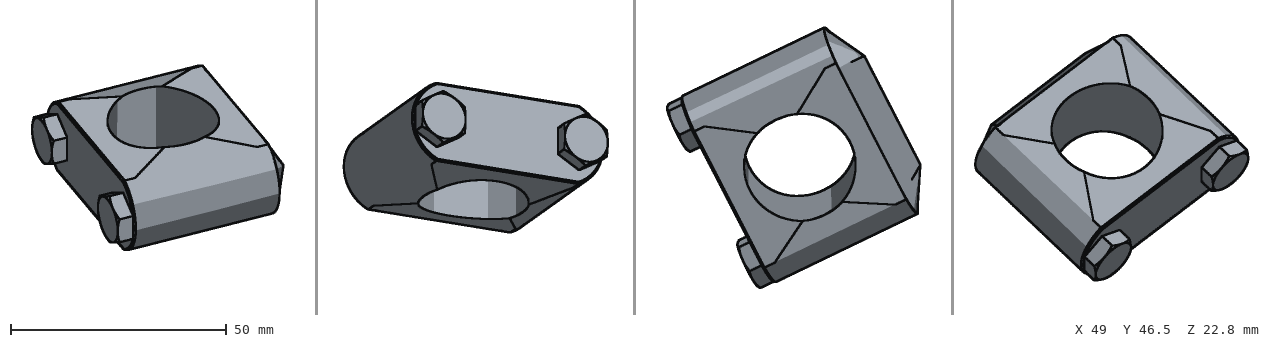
import cadquery as cq
import math

length = 49.0
half_length = length / 2
half_thickness = 9.6
flat_half_length = 18.25
edge_bevel_length = 0.35
edge_bevel_height = 0.15
bulge_half_length = flat_half_length + edge_bevel_length
bulge_half_height = half_thickness - edge_bevel_height
front_y = -18.65
front_chamfer = 0.4

ridge_y = 23.95
ridge_half_length = 14.55
roof_angle = 30.0
roof_rise = half_thickness * math.tan(math.radians(roof_angle))
back_y = ridge_y - roof_rise

raised_half_height = 11.4
hole_radius = 12.7
hole_stretch = 0.5
raised_half_depth = 15.6
crest_half_depth = 5.1
crest_half_length = math.sqrt(hole_radius**2 - (crest_half_depth - hole_stretch / 2) ** 2)

bolt_spacing = 36.45
head_flats = 11.0
head_corners = head_flats / math.cos(math.radians(30))
head_height = 3.9
head_chamfer_angle = 30.0


def make_body():
    """Extrude the slab and bevel its front rim."""
    profile = (
        cq.Workplane("XZ", origin=(0, back_y, 0))
        .moveTo(-flat_half_length, half_thickness)
        .lineTo(flat_half_length, half_thickness)
        .lineTo(bulge_half_length, bulge_half_height)
        .threePointArc((half_length, 0), (bulge_half_length, -bulge_half_height))
        .lineTo(flat_half_length, -half_thickness)
        .lineTo(-flat_half_length, -half_thickness)
        .lineTo(-bulge_half_length, -bulge_half_height)
        .threePointArc((-half_length, 0), (-bulge_half_length, bulge_half_height))
        .close()
    )
    return profile.extrude(back_y - front_y).faces("<Y").chamfer(front_chamfer)


def make_roof():
    """Make the triangular ridge and the two cones that close its ends."""
    roof = (
        cq.Workplane("YZ", origin=(-ridge_half_length, 0, 0))
        .moveTo(back_y, -half_thickness)
        .lineTo(ridge_y, 0)
        .lineTo(back_y, half_thickness)
        .close()
        .extrude(2 * ridge_half_length)
    )
    for side in (-1, 1):
        base_center = cq.Vector(side * ridge_half_length, back_y, 0)
        cone = cq.Solid.makeCone(half_thickness, 0, roof_rise, base_center, cq.Vector(0, 1, 0))
        roof = roof.union(cq.Workplane(cone))
    return roof


def slope_profile(plane, base_half_width, crest_half_width):
    """Draw a closed outline that slopes up to a crest above and below."""
    return (
        cq.Workplane(plane)
        .moveTo(-base_half_width, half_thickness)
        .lineTo(-crest_half_width, raised_half_height)
        .lineTo(crest_half_width, raised_half_height)
        .lineTo(base_half_width, half_thickness)
        .lineTo(base_half_width, -half_thickness)
        .lineTo(crest_half_width, -raised_half_height)
        .lineTo(-crest_half_width, -raised_half_height)
        .lineTo(-base_half_width, -half_thickness)
        .close()
    )


def make_hipped_faces():
    """Cross two sloped prisms to get the four-sided slopes around the hole."""
    side_slopes = slope_profile("XZ", flat_half_length, crest_half_length)
    end_slopes = slope_profile("YZ", raised_half_depth, crest_half_depth)
    return side_slopes.extrude(raised_half_depth, both=True).intersect(
        end_slopes.extrude(flat_half_length, both=True)
    )


def make_crest():
    """Rule the middle slopes from straight lower edges up to the hole's rim."""
    arc_center_y = hole_stretch / 2
    half_angle = math.asin((crest_half_depth - arc_center_y) / hole_radius) / 2
    mid_x = hole_radius * math.cos(half_angle)
    mid_y = arc_center_y + hole_radius * math.sin(half_angle)
    crest = (
        cq.Workplane("XY", origin=(0, 0, half_thickness))
        .moveTo(flat_half_length, -crest_half_depth)
        .lineTo(flat_half_length, 0)
        .lineTo(flat_half_length, crest_half_depth)
        .lineTo(-flat_half_length, crest_half_depth)
        .lineTo(-flat_half_length, 0)
        .lineTo(-flat_half_length, -crest_half_depth)
        .close()
        .workplane(offset=raised_half_height - half_thickness)
        .moveTo(crest_half_length, -crest_half_depth)
        .threePointArc((mid_x, -mid_y), (hole_radius, 0))
        .threePointArc((mid_x, mid_y), (crest_half_length, crest_half_depth))
        .lineTo(-crest_half_length, crest_half_depth)
        .threePointArc((-mid_x, mid_y), (-hole_radius, 0))
        .threePointArc((-mid_x, -mid_y), (-crest_half_length, -crest_half_depth))
        .close()
        .loft(ruled=True, combine=False)
    )
    return crest.union(crest.mirror("XY"))


def make_bolt_head(center_x):
    """Make a hexagonal head, corners up and down, with its front corners turned off."""
    bevel_width = (head_corners - head_flats) / 2
    bevel_depth = bevel_width * math.tan(math.radians(head_chamfer_angle))
    head = (
        cq.Workplane("XZ", origin=(center_x, front_y, 0))
        .transformed(rotate=(0, 0, 90))
        .polygon(6, head_corners)
        .extrude(head_height)
    )
    turned = (
        cq.Workplane("XZ", origin=(center_x, front_y, 0))
        .circle(head_corners / 2)
        .extrude(head_height)
        .faces("<Y")
        .chamfer(bevel_depth, bevel_width)
    )
    return head.intersect(turned)


result = make_body().union(make_roof()).union(make_hipped_faces()).union(make_crest())
for bolt_x in (-bolt_spacing / 2, bolt_spacing / 2):
    result = result.union(make_bolt_head(bolt_x))

hole = (
    cq.Workplane("XY", origin=(0, 0, -raised_half_height))
    .slot2D(2 * hole_radius + hole_stretch, 2 * hole_radius, angle=90)
    .extrude(2 * raised_half_height)
)
result = result.cut(hole)